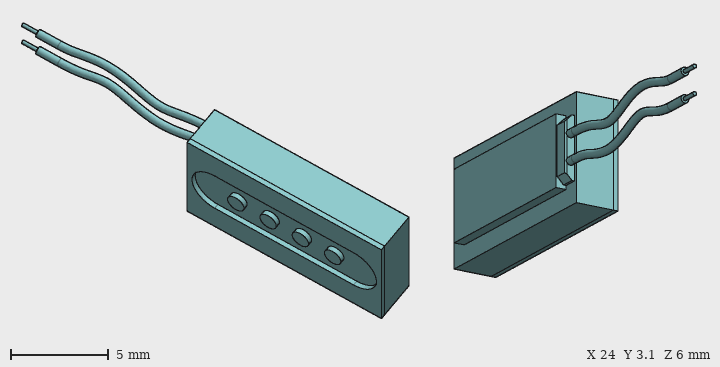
import cadquery as cq

TOTAL_LENGTH = 24.02
TOTAL_DEPTH = 3.1
CASE_LENGTH = 12.0
CASE_HEIGHT = 6.0
TIP_X = -TOTAL_LENGTH / 2
CASE_LEFT_X = TOTAL_LENGTH / 2 - CASE_LENGTH
CASE_MID_X = CASE_LEFT_X + CASE_LENGTH / 2

COVER_THICKNESS = 0.3
PLATE_THICKNESS = 0.6
FRONT_Y = -TOTAL_DEPTH / 2
COVER_BACK_Y = FRONT_Y + COVER_THICKNESS
CASE_BACK_Y = TOTAL_DEPTH / 2 - PLATE_THICKNESS

WINDOW_LENGTH = 11.39
WINDOW_HEIGHT = 2.8
PEG_COUNT = 4
PEG_DIAMETER = 1.0
PEG_PITCH = 2.0

PLATE_LENGTH = 10.0
PLATE_HEIGHT = 3.99
PLATE_LEFT_X = CASE_MID_X - PLATE_LENGTH / 2
BEAD_LEFT_X = CASE_LEFT_X + 0.2
BEAD_THICKNESS = 0.53
BEAD_RIM_THICKNESS = 0.15
BEAD_HEIGHT = 3.55
BEAD_TOP_HEIGHT = 2.79
BEAD_END_CHAMFER = 0.1

LEAD_DIAMETER = 0.45
CORE_DIAMETER = 0.22
LEAD_Z = 0.75
LEAD_AXIS_Y = CASE_BACK_Y + 0.25
BARE_TIP_LENGTH = 0.95
SLEEVE_LENGTH = 1.35
SLEEVE_START_X = TIP_X + BARE_TIP_LENGTH
WAVE_START_X = SLEEVE_START_X + SLEEVE_LENGTH
WAVE_END_X = CASE_LEFT_X - 0.3
LEAD_END_X = BEAD_LEFT_X + 0.25

UPPER_WAVE = [(-8.17, 1.03), (-6.82, 1.23), (-5.25, 0.86), (-3.53, 0.26), (-2.1, 0.53)]
LOWER_WAVE = [(-8.17, -0.55), (-6.82, -0.26), (-5.25, -0.77), (-3.48, -1.23), (-2.1, -1.03)]


def block(left_x, front_y, length, depth, height):
    """Box centred on Z = 0, placed by its left and front faces."""
    return cq.Workplane("XY").box(length, depth, height, centered=(False, False, True)).translate(
        (left_x, front_y, 0)
    )


def front_plane(y):
    """Sketch plane facing -Y, centred on the case."""
    return cq.Workplane("XZ", origin=(CASE_MID_X, y, 0))


def make_cover():
    """Thin front plate with a round-ended window through it."""
    cover = block(CASE_LEFT_X, FRONT_Y, CASE_LENGTH, COVER_THICKNESS, CASE_HEIGHT)
    window = front_plane(COVER_BACK_Y).slot2D(WINDOW_LENGTH, WINDOW_HEIGHT).extrude(COVER_THICKNESS)
    return cover.cut(window)


def make_case():
    """Main block with a row of pegs that end flush with the cover."""
    case = block(CASE_LEFT_X, COVER_BACK_Y, CASE_LENGTH, CASE_BACK_Y - COVER_BACK_Y, CASE_HEIGHT)
    pegs = (
        front_plane(COVER_BACK_Y)
        .rarray(PEG_PITCH, 0.25, PEG_COUNT, 1)
        .circle(PEG_DIAMETER / 2)
        .extrude(COVER_THICKNESS)
    )
    return case.union(pegs)


def make_bead():
    """Bead with a low rim, sloping upper and lower flanks and a chamfered left end."""
    rim_y = CASE_BACK_Y + BEAD_RIM_THICKNESS
    top_y = CASE_BACK_Y + BEAD_THICKNESS
    return (
        cq.Workplane("YZ", origin=(BEAD_LEFT_X, 0, 0))
        .moveTo(CASE_BACK_Y, -BEAD_HEIGHT / 2)
        .lineTo(rim_y, -BEAD_HEIGHT / 2)
        .lineTo(top_y, -BEAD_TOP_HEIGHT / 2)
        .lineTo(top_y, BEAD_TOP_HEIGHT / 2)
        .lineTo(rim_y, BEAD_HEIGHT / 2)
        .lineTo(CASE_BACK_Y, BEAD_HEIGHT / 2)
        .close()
        .extrude(PLATE_LEFT_X - BEAD_LEFT_X)
        .faces("<X")
        .edges(">Y")
        .chamfer(BEAD_END_CHAMFER)
    )


def make_rod(start_x, end_x, z, diameter):
    """Straight round rod along X on the axis of a lead."""
    plane = cq.Workplane("YZ", origin=(start_x, LEAD_AXIS_Y, z))
    return plane.circle(diameter / 2).extrude(end_x - start_x)


def make_lead(z, wave):
    """One lead, from its bare tip to the end held in the bead."""
    points = [(WAVE_START_X, z), *wave, (WAVE_END_X, z)]
    path = cq.Workplane("XZ", origin=(0, LEAD_AXIS_Y, 0)).spline(points, tangents=[(1, 0), (1, 0)])
    section = cq.Workplane("YZ", origin=(WAVE_START_X, LEAD_AXIS_Y, z)).circle(LEAD_DIAMETER / 2)
    return (
        section.sweep(path)
        .union(make_rod(TIP_X, SLEEVE_START_X, z, CORE_DIAMETER))
        .union(make_rod(SLEEVE_START_X, WAVE_START_X, z, LEAD_DIAMETER))
        .union(make_rod(WAVE_END_X, LEAD_END_X, z, LEAD_DIAMETER))
    )


def make_rear_unit():
    """Rear plate, bead and both leads as one solid."""
    unit = block(PLATE_LEFT_X, CASE_BACK_Y, PLATE_LENGTH, PLATE_THICKNESS, PLATE_HEIGHT)
    unit = unit.union(make_bead())
    for z, wave in [(LEAD_Z, UPPER_WAVE), (-LEAD_Z, LOWER_WAVE)]:
        unit = unit.union(make_lead(z, wave))
    return unit


cover = make_cover()
case = make_case()
rear_unit = make_rear_unit()

result = cq.Compound.makeCompound([body.solids().val() for body in (cover, case, rear_unit)])